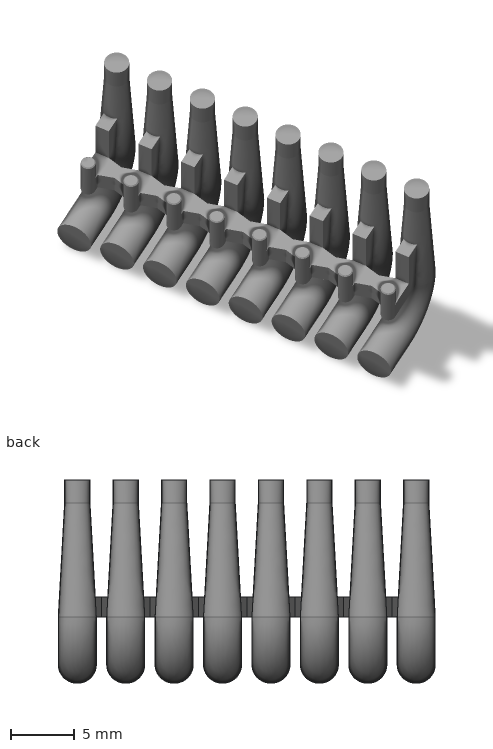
import cadquery as cq
import math

row_length = 29.67
pipe_count = 8
pipe_diameter = 3.0
pipe_radius = pipe_diameter / 2
pitch = (row_length - pipe_diameter) / (pipe_count - 1)

bend_outer_radius = 5.2
bend_radius = bend_outer_radius - pipe_radius
foot_length = 3.5
taper_height = 9.0
tip_diameter = 2.0
tip_height = 1.8

strip_thickness = 1.6
strip_center_y = -3.4
strip_wide_width = 1.9
strip_neck_width = 1.2
block_height = 5.07

pin_diameter = 1.2
bar_width = pin_diameter
pin_center_y = -4.8
pin_height = 3.4
pin_chamfer = 0.1

stem_x = [(i - (pipe_count - 1) / 2) * pitch for i in range(pipe_count)]
block_front_y = strip_center_y + strip_wide_width / 2


def make_pipe():
    """One bent pipe with its stem axis on Z."""
    diagonal = bend_radius * math.sqrt(0.5)
    path = (
        cq.Workplane("YZ")
        .moveTo(-bend_radius - foot_length, -bend_radius)
        .lineTo(-bend_radius, -bend_radius)
        .threePointArc((diagonal - bend_radius, -diagonal), (0, 0))
    )
    foot_and_bend = (
        cq.Workplane("XZ", origin=(0, -bend_radius - foot_length, -bend_radius))
        .circle(pipe_radius)
        .sweep(path)
    )
    stem = (
        cq.Workplane("XZ")
        .polyline([
            (0, 0),
            (pipe_radius, 0),
            (tip_diameter / 2, taper_height),
            (tip_diameter / 2, taper_height + tip_height),
            (0, taper_height + tip_height),
        ])
        .close()
        .revolve(360, (0, 0, 0), (0, 1, 0))
    )
    return foot_and_bend.union(stem)


def make_bar(back_y, front_y, height):
    """Upright bar in line with the stem, running from back_y out to front_y."""
    length = back_y - front_y
    return (
        cq.Workplane("XY", origin=(0, (back_y + front_y) / 2, 0))
        .rect(bar_width, length)
        .extrude(height)
    )


def make_pin():
    """Round pin rising from the underside of the strip."""
    return (
        cq.Workplane("XY", origin=(0, pin_center_y, 0))
        .circle(pin_diameter / 2)
        .extrude(pin_height)
        .faces(">Z")
        .chamfer(pin_chamfer)
    )


def make_strip():
    """Strip that is wide at each block and narrows midway between pipes."""
    back_edge = []
    for x in stem_x:
        back_edge.append((x - bar_width / 2, strip_wide_width / 2))
        back_edge.append((x + bar_width / 2, strip_wide_width / 2))
        if x != stem_x[-1]:
            back_edge.append((x + pitch / 2, strip_neck_width / 2))
    outline = back_edge + [(x, -y) for x, y in reversed(back_edge)]
    return (
        cq.Workplane("XY", origin=(0, strip_center_y, 0))
        .polyline(outline)
        .close()
        .extrude(strip_thickness)
    )


block = make_bar(0, block_front_y, block_height)
tongue = make_bar(strip_center_y, pin_center_y, strip_thickness)

pipe_unit = make_pipe().union(block).union(tongue).union(make_pin())
result = make_strip()
for x in stem_x:
    result = result.union(pipe_unit.translate((x, 0, 0)))